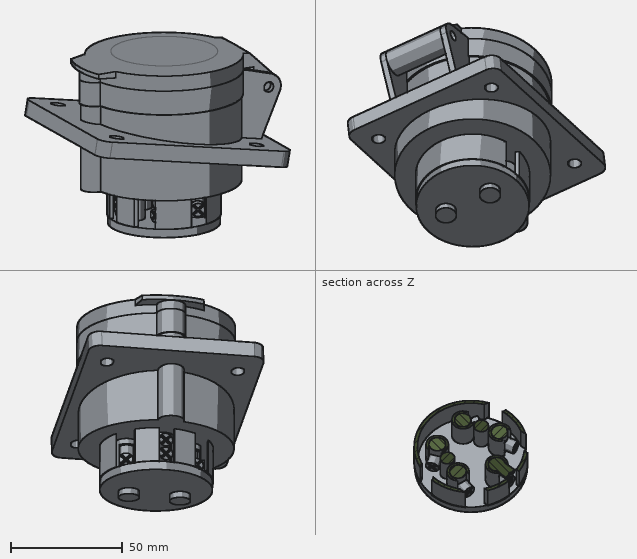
import cadquery as cq
import math


BODY_RADIUS = 35.0
RIM_STEP = 0.6
RIM_BOTTOM = 40.2
HOUSING_TOP = 51.4
RIB_CENTRE_Y = -35.1
RIB_RADIUS = 5.9
RIM_RADIUS = BODY_RADIUS + RIM_STEP
RIM_RIB_RADIUS = RIB_RADIUS + RIM_STEP

FLANGE_WIDTH = 80.0
FLANGE_LENGTH = 97.3
FLANGE_THICKNESS = 7.4
FLANGE_TILT = 10
FLANGE_CENTRE_Y = -3.3
FLANGE_CENTRE_Z = 22.2
FLANGE_CORNER_RADIUS = 5.1
MOUNT_SLOT_SPACING_X = 59.8
MOUNT_SLOT_SPACING_Y = 69.9
MOUNT_SLOT_CENTRE_Y = -3.4
MOUNT_SLOT_LENGTH = 6.4
MOUNT_SLOT_WIDTH = 5.7

HINGE_Y = 43.9
HINGE_Z = 42.0
HINGE_RADIUS = 6.1
HINGE_HOLE_RADIUS = 2.3
BRACKET_INSIDE_X = 14.4
BRACKET_THICKNESS = 3.0
BRACKET_TOP_SLOPE = 15
BRACKET_FOOT_Y = 40.2
BRACKET_FOOT_Z = 18.3
BRACKET_ROOT_Y = 25.4

LID_RADIUS = RIM_RADIUS
LID_TOP = 59.9
LID_FLAT_RADIUS = 24.0
LID_EDGE_TOP = 58.4
TAB_RADIUS = 42.0
TAB_BOTTOM = 55.5
TAB_TIP_HALF_WIDTH = 14.0
TAB_ROOT_HALF_WIDTH = 16.0
TAB_ROOT_Y = -31.3
ARM_BACK_SLOPE = 43.5

INSERT_RADIUS = 25.6
INSERT_INNER_RADIUS = 23.9
SKIRT_HEIGHT = 16.1
BASE_RADIUS = 25.3
BASE_THICKNESS = 4.0
POST_X = 11.7
POST_Y = 3.9
POST_RADIUS = 3.4
STUB_RADIUS = 4.7
STUB_HEIGHT = 2.8
SLEEVE_RADIUS = 5.1
SLIT_WIDTH = 6.2
SLIT_TOP = -2.5
WINDOW_WIDTH = 6.9
SIDE_WINDOW_WIDTH = 7.3
SIDE_WINDOW_OFFSET = 17.4

CONTACT_PITCH_RADIUS = 15.2
CONTACT_SPACING = 72
CONTACT_POSITIONS = range(-2, 3)
CONTACT_RADIUS = 3.7
SCREW_RADIUS = 3.1
SCREW_REACH = 8.0
SCREW_Z = -11.3
UPPER_SCREW_Z = -4.7
SCREW_ANGLES = (0, 13, 66.4)
CROSS_LENGTH = 4.5
CROSS_WIDTH = 0.7
CROSS_DEPTH = 0.5


def cylinder(radius, bottom, top, x=0, y=0):
    return cq.Workplane("XY", origin=(x, y, bottom)).circle(radius).extrude(top - bottom)


def box_between(x_range, y_range, z_range):
    size = [high - low for low, high in (x_range, y_range, z_range)]
    low_corner = (x_range[0], y_range[0], z_range[0])
    return cq.Workplane("XY", origin=low_corner).box(*size, centered=False)


def front_rib(radius, bottom, top):
    """Rib with a half-round front and straight sides running back into the body."""
    rounded = cylinder(radius, bottom, top, y=RIB_CENTRE_Y)
    root = box_between((-radius, radius), (RIB_CENTRE_Y, RIB_CENTRE_Y / 2), (bottom, top))
    return rounded.union(root)


def hinge_point(angle):
    """Point (y, z) of the hinge barrel at an angle in degrees from +Y towards +Z."""
    turn = math.radians(angle)
    return (HINGE_Y + HINGE_RADIUS * math.cos(turn), HINGE_Z + HINGE_RADIUS * math.sin(turn))


def hinge_hole():
    return (
        cq.Workplane("YZ", origin=(0, HINGE_Y, HINGE_Z))
        .circle(HINGE_HOLE_RADIUS)
        .extrude(BRACKET_INSIDE_X + BRACKET_THICKNESS, both=True)
    )


def flange():
    """Tilted plate whose mounting slots run parallel to the main axis."""
    plane = cq.Plane(
        origin=(0, FLANGE_CENTRE_Y, FLANGE_CENTRE_Z),
        xDir=(1, 0, 0),
        normal=(0, math.sin(math.radians(FLANGE_TILT)), math.cos(math.radians(FLANGE_TILT))),
    )
    plate = cq.Workplane(plane).box(FLANGE_WIDTH, FLANGE_LENGTH, FLANGE_THICKNESS)
    plate = plate.edges(cq.selectors.ParallelDirSelector(plane.zDir)).fillet(FLANGE_CORNER_RADIUS)
    slots = (
        cq.Workplane("XY", origin=(0, MOUNT_SLOT_CENTRE_Y, 0))
        .rarray(MOUNT_SLOT_SPACING_X, MOUNT_SLOT_SPACING_Y, 2, 2)
        .slot2D(MOUNT_SLOT_LENGTH, MOUNT_SLOT_WIDTH, 90)
        .extrude(HOUSING_TOP)
    )
    return plate.cut(slots)


def hinge_bracket(inside_x):
    """Side plate: tangent to the hinge barrel at the top and at the back."""
    top_tangent = hinge_point(90 - BRACKET_TOP_SLOPE)
    rise = HOUSING_TOP - top_tangent[1]
    top_end_y = top_tangent[0] - rise / math.tan(math.radians(BRACKET_TOP_SLOPE))
    foot_dy = BRACKET_FOOT_Y - HINGE_Y
    foot_dz = BRACKET_FOOT_Z - HINGE_Z
    foot_direction = math.degrees(math.atan2(foot_dz, foot_dy))
    tangent_turn = math.degrees(math.acos(HINGE_RADIUS / math.hypot(foot_dy, foot_dz)))
    back_angle = foot_direction + tangent_turn
    middle_angle = (90 - BRACKET_TOP_SLOPE + back_angle) / 2
    return (
        cq.Workplane("YZ", origin=(inside_x, 0, 0))
        .moveTo(BRACKET_ROOT_Y, HOUSING_TOP)
        .lineTo(top_end_y, HOUSING_TOP)
        .lineTo(*top_tangent)
        .threePointArc(hinge_point(middle_angle), hinge_point(back_angle))
        .lineTo(BRACKET_FOOT_Y, BRACKET_FOOT_Z)
        .lineTo(BRACKET_ROOT_Y, BRACKET_FOOT_Z)
        .close()
        .extrude(BRACKET_THICKNESS)
    )


def make_housing():
    body = cylinder(BODY_RADIUS, 0, HOUSING_TOP)
    body = body.union(front_rib(RIB_RADIUS, 0, HOUSING_TOP))
    body = body.union(cylinder(RIM_RADIUS, RIM_BOTTOM, HOUSING_TOP))
    body = body.union(front_rib(RIM_RIB_RADIUS, RIM_BOTTOM, HOUSING_TOP))
    body = body.union(flange())
    for inside_x in (BRACKET_INSIDE_X, -BRACKET_INSIDE_X - BRACKET_THICKNESS):
        body = body.union(hinge_bracket(inside_x))
    return body.cut(hinge_hole())


def lid_tab():
    tip_y = -math.sqrt(TAB_RADIUS**2 - TAB_TIP_HALF_WIDTH**2)
    return (
        cq.Workplane("XY", origin=(0, 0, TAB_BOTTOM))
        .moveTo(-TAB_ROOT_HALF_WIDTH, TAB_ROOT_Y)
        .lineTo(-TAB_TIP_HALF_WIDTH, tip_y)
        .threePointArc((0, -TAB_RADIUS), (TAB_TIP_HALF_WIDTH, tip_y))
        .lineTo(TAB_ROOT_HALF_WIDTH, TAB_ROOT_Y)
        .close()
        .extrude(LID_TOP - TAB_BOTTOM)
    )


def lid_arm():
    """Arm to the hinge: sloping back and upright inner side, both tangent to the barrel."""
    back_tangent = hinge_point(90 - ARM_BACK_SLOPE)
    back_run = (LID_TOP - back_tangent[1]) / math.tan(math.radians(ARM_BACK_SLOPE))
    back_top_y = back_tangent[0] - back_run
    return (
        cq.Workplane("YZ")
        .moveTo(0, LID_TOP)
        .lineTo(back_top_y, LID_TOP)
        .lineTo(*back_tangent)
        .threePointArc(hinge_point(-90), hinge_point(180))
        .lineTo(HINGE_Y - HINGE_RADIUS, HOUSING_TOP)
        .lineTo(0, HOUSING_TOP)
        .close()
        .extrude(BRACKET_INSIDE_X, both=True)
    )


def conical_envelope():
    """Everything under the flat and conical top face of the lid."""
    slope = (LID_TOP - LID_EDGE_TOP) / (LID_RADIUS - LID_FLAT_RADIUS)
    outer_radius = HINGE_Y + BRACKET_INSIDE_X
    outer_z = LID_TOP - slope * (outer_radius - LID_FLAT_RADIUS)
    return (
        cq.Workplane("XZ")
        .lineTo(outer_radius, 0)
        .lineTo(outer_radius, outer_z)
        .lineTo(LID_FLAT_RADIUS, LID_TOP)
        .lineTo(0, LID_TOP)
        .close()
        .revolve(360, (0, 0, 0), (0, 1, 0))
    )


def make_lid():
    lid = cylinder(LID_RADIUS, HOUSING_TOP, LID_TOP)
    lid = lid.union(front_rib(RIM_RIB_RADIUS, HOUSING_TOP, TAB_BOTTOM))
    lid = lid.union(lid_tab())
    lid = lid.union(lid_arm())
    return lid.intersect(conical_envelope()).cut(hinge_hole())


def contact_centre(angle):
    """Contact axis (x, y) at an angle in degrees from the front, positive towards +X."""
    turn = math.radians(angle)
    return (CONTACT_PITCH_RADIUS * math.sin(turn), -CONTACT_PITCH_RADIUS * math.cos(turn))


def screw_angle(position):
    """Direction of the clamp screw of contact -2 to 2, in degrees from the front."""
    return math.copysign(SCREW_ANGLES[abs(position)], position)


def radial_cutter(x, y, angle, width, top):
    """Upright cutter from (x, y) outward along an angle from the front."""
    cutter = box_between((-width / 2, width / 2), (-INSERT_RADIUS, 0), (-SKIRT_HEIGHT, top))
    return cutter.rotate((0, 0, 0), (0, 0, 1), angle).translate((x, y, 0))


def make_skirt():
    """Ring wall with a window in front of each contact screw."""
    skirt = cylinder(INSERT_RADIUS, -SKIRT_HEIGHT, 0)
    skirt = skirt.cut(cylinder(INSERT_INNER_RADIUS, -SKIRT_HEIGHT, 0))
    for side in (-1, 1):
        skirt = skirt.cut(radial_cutter(side * SIDE_WINDOW_OFFSET, 0, 0, SIDE_WINDOW_WIDTH, 0))
    for position in (-2, 0, 2):
        x, y = contact_centre(position * CONTACT_SPACING)
        skirt = skirt.cut(radial_cutter(x, y, screw_angle(position), WINDOW_WIDTH, 0))
    return skirt


def contact_sleeve(position):
    """Tube around a contact, slit open towards the screw."""
    x, y = contact_centre(position * CONTACT_SPACING)
    sleeve = cylinder(SLEEVE_RADIUS, -SKIRT_HEIGHT, 0, x, y)
    return sleeve.cut(radial_cutter(x, y, screw_angle(position), SLIT_WIDTH, SLIT_TOP))


def make_insert(contacts):
    """Contact carrier with a fitting recess for each of the contacts."""
    base_bottom = -SKIRT_HEIGHT - BASE_THICKNESS
    stub_bottom = base_bottom - STUB_HEIGHT
    insert = make_skirt().union(cylinder(BASE_RADIUS, base_bottom, -SKIRT_HEIGHT))
    for side in (-1, 1):
        insert = insert.union(cylinder(POST_RADIUS, base_bottom, 0, side * POST_X, POST_Y))
        insert = insert.union(cylinder(STUB_RADIUS, stub_bottom, base_bottom, side * POST_X, POST_Y))
    for position in CONTACT_POSITIONS:
        insert = insert.union(contact_sleeve(position))
    for contact in contacts:
        insert = insert.cut(contact)
    return insert


def clamp_screw(x, y, z, angle):
    """Screw pointing outward from (x, y) along an angle from the front, with a cross recess."""
    screw = cq.Workplane("XZ").circle(SCREW_RADIUS).extrude(SCREW_REACH)
    for arm_angle in (45, -45):
        arm = (
            cq.Workplane("XZ", origin=(0, CROSS_DEPTH - SCREW_REACH, 0))
            .transformed(rotate=(0, 0, arm_angle))
            .rect(CROSS_LENGTH, CROSS_WIDTH)
            .extrude(CROSS_DEPTH)
        )
        screw = screw.cut(arm)
    return screw.rotate((0, 0, 0), (0, 0, 1), angle).translate((x, y, z))


def make_contact(position):
    """Upright contact pin with its clamp screw; the front one has a second screw."""
    x, y = contact_centre(position * CONTACT_SPACING)
    contact = cylinder(CONTACT_RADIUS, -SKIRT_HEIGHT, 0, x, y)
    screw_heights = (SCREW_Z, UPPER_SCREW_Z) if position == 0 else (SCREW_Z,)
    for z in screw_heights:
        contact = contact.union(clamp_screw(x, y, z, screw_angle(position)))
    return contact


housing = make_housing()
lid = make_lid()
contacts = [make_contact(position) for position in CONTACT_POSITIONS]
insert = make_insert(contacts)

result = cq.Compound.makeCompound(
    [housing.val(), lid.val(), insert.val(), *[contact.val() for contact in contacts]]
)